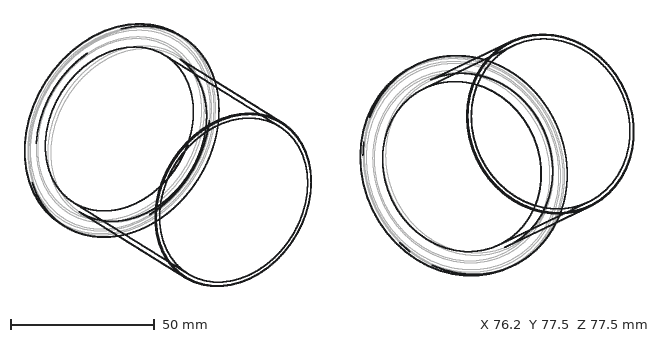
import cadquery as cq
import math

length = 76.2
bore_radius = 60.2 / 2
tube_radius = 63.5 / 2
flange_radius = 77.5 / 2

rim_width = 3.0
cone_angle = 20.0
rim_rounding = 0.4
neck_fillet = 1.0

groove_middle_radius = 35.3
groove_half_width = 2.0
groove_floor_arc = 1.4
groove_lip_arc = 0.9

end_chamfer = 0.3

match_tolerance = 0.01
full_turn = 360
tube_axis = ((0, 0, 0), (1, 0, 0))


def ring_edges(body, x, radius):
    """Circular edges around the X axis at the given position and radius."""
    return body.edges("%CIRCLE").filter(
        lambda edge: abs(edge.Center().x - x) < match_tolerance
        and abs(edge.radius() - radius) < match_tolerance
    )


def make_ferrule():
    """Tube with the clamp flange, turned around the X axis."""
    cone_length = (flange_radius - tube_radius) * math.tan(math.radians(cone_angle))
    cone_end = rim_width + cone_length
    profile = (
        cq.Workplane("XY")
        .moveTo(0, bore_radius)
        .lineTo(0, flange_radius)
        .lineTo(rim_width, flange_radius)
        .lineTo(cone_end, tube_radius)
        .lineTo(length, tube_radius)
        .lineTo(length, bore_radius)
        .close()
    )
    body = profile.revolve(full_turn, *tube_axis)
    body = ring_edges(body, cone_end, tube_radius).fillet(neck_fillet)
    body = ring_edges(body, 0, flange_radius).fillet(rim_rounding)
    body = ring_edges(body, rim_width, flange_radius).fillet(rim_rounding)
    return ring_edges(body, length, tube_radius).chamfer(end_chamfer)


def cut_gasket_groove(body):
    """Cut a groove whose concave floor runs tangentially into two convex lips."""
    wall_angle = math.asin(groove_half_width / (groove_floor_arc + groove_lip_arc))
    depth = (groove_floor_arc + groove_lip_arc) * (1 - math.cos(wall_angle))

    def lip_point(angle, side):
        """Point where a lip is tilted by `angle`; side is -1 inward, 1 outward."""
        x = groove_lip_arc * (1 - math.cos(angle))
        offset = groove_half_width - groove_lip_arc * math.sin(angle)
        return x, groove_middle_radius + side * offset

    section = (
        cq.Workplane("XY")
        .moveTo(*lip_point(0, -1))
        .threePointArc(lip_point(wall_angle / 2, -1), lip_point(wall_angle, -1))
        .threePointArc((depth, groove_middle_radius), lip_point(wall_angle, 1))
        .threePointArc(lip_point(wall_angle / 2, 1), lip_point(0, 1))
        .close()
    )
    return body.cut(section.revolve(full_turn, *tube_axis))


result = cut_gasket_groove(make_ferrule())